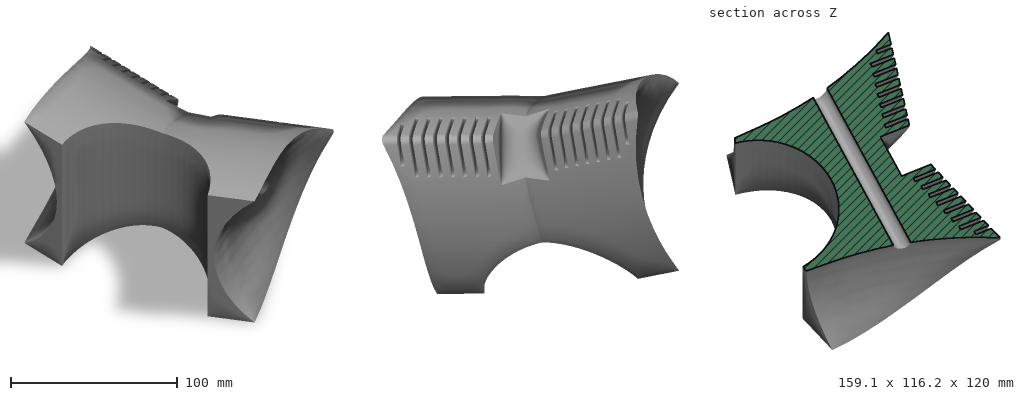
import cadquery as cq
import math

height = 120.0
wing_angle = 14.0
front_y = -5.0
saddle_radius = 48.1

section_mid = (51.3, 46.9)
section_shoulder = (103.8, 3.5)
section_depth = 105.0
wing_reach = 127.5

hollow_radius = 88.0
hollow_bend_radius = 228.0
hollow_bend_angle = 45.0
hollow_tilt = 2.6
hollow_start_x = 52.1
hollow_start_y = 24.5
hollow_front_length = 63.8

hole_diameter = 10.0
hole_y = 67.9

notch_width = 30.0
notch_floor_y = 87.8

slot_count = 8
slot_width = 2.2
slot_pitch = 7.0
first_slot_x = 20.7
first_slot_floor_y = 93.6
last_slot_floor_y = 111.0

beyond = 159.5


def make_wing():
    """Pointed section swept straight outward, trimmed at the middle plane."""
    angle = math.radians(wing_angle)
    outward = (math.cos(angle), math.sin(angle), 0)
    backward = (-math.sin(angle), math.cos(angle), 0)
    plane = cq.Plane(origin=(0, front_y, 0), xDir=backward, normal=outward)
    mid_depth, mid_height = section_mid
    tip_depth, tip_height = section_shoulder
    wing = (
        cq.Workplane(plane)
        .moveTo(0, -height / 2)
        .lineTo(0, height / 2)
        .threePointArc(section_mid, section_shoulder)
        .threePointArc((section_depth, 0), (tip_depth, -tip_height))
        .threePointArc((mid_depth, -mid_height), (0, -height / 2))
        .close()
        .extrude(wing_reach, both=True)
    )
    outer_side = cq.Workplane("XY").box(beyond, 2 * beyond, beyond, centered=(False, True, True))
    return wing.intersect(outer_side)


def hollow_section(plane):
    """Circle touching the plane origin, split into halves at mid-height."""
    return (
        cq.Workplane(plane)
        .threePointArc((hollow_radius, hollow_radius), (2 * hollow_radius, 0))
        .threePointArc((hollow_radius, -hollow_radius), (0, 0))
        .close()
    )


def make_hollow():
    """Round bar, straight at the front and bent outward toward the back."""
    tilt = math.radians(hollow_tilt)
    plane = cq.Plane(
        origin=(hollow_start_x, hollow_start_y, 0),
        xDir=(math.cos(tilt), -math.sin(tilt), 0),
        normal=(-math.sin(tilt), -math.cos(tilt), 0),
    )
    straight = hollow_section(plane).extrude(hollow_front_length)
    bend = hollow_section(plane).revolve(hollow_bend_angle, (hollow_bend_radius, 1.6), (hollow_bend_radius, 0))
    return straight, bend


def make_slots():
    """Slots open to the back, their floors parallel to the swept back edge."""
    slots = cq.Workplane("XY")
    slope = math.tan(math.radians(wing_angle))
    for index in range(slot_count):
        offset = index * slot_pitch
        floor_y = first_slot_floor_y + offset * slope
        if index == slot_count - 1:
            floor_y = last_slot_floor_y
        slot = cq.Workplane("XY").box(slot_width, beyond, beyond, centered=(True, False, True))
        slots = slots.add(slot.translate((first_slot_x + offset, floor_y, 0)))
    return slots.combine()


wing = make_wing()
for hollow in make_hollow():
    wing = wing.cut(hollow)
wing = wing.cut(make_slots())
body = wing.union(wing.mirror("YZ"))

saddle = cq.Workplane("XY").circle(saddle_radius).extrude(beyond, both=True)
notch = (
    cq.Workplane("XY")
    .box(notch_width, beyond, beyond, centered=(True, False, True))
    .translate((0, notch_floor_y, 0))
)
cross_hole = (
    cq.Workplane("YZ")
    .center(hole_y, 0)
    .circle(hole_diameter / 2)
    .extrude(beyond, both=True)
)

result = body.cut(saddle).cut(notch).cut(cross_hole)